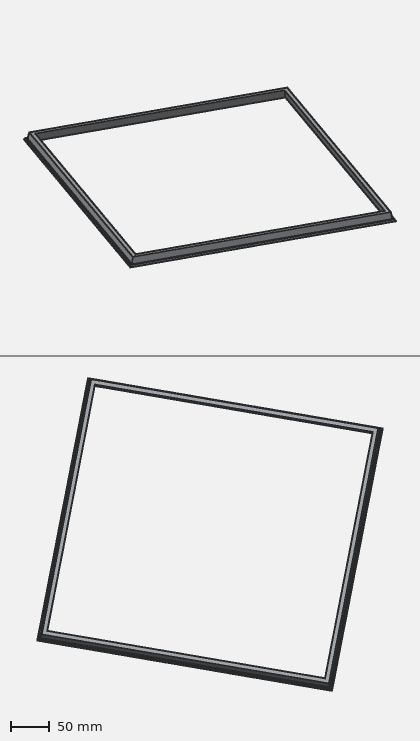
import cadquery as cq

length_x = 388.0
length_y = 367.5
height = 12.0

lip_height = 2.52
lip_bevel = 1.35
lip_ledge = 2.15
wall_lean = 1.7
top_width = 6.2

wall_foot_inset = lip_bevel + lip_ledge
wall_top_inset = wall_foot_inset + wall_lean
opening_top_inset = wall_top_inset + top_width

inner_lean = wall_lean * height / (height - lip_height)
opening_bottom_inset = opening_top_inset - inner_lean


def tapered_block(bottom_z, bottom_inset, top_z, top_inset):
    """Block between two rectangles inset from the outer edge of the frame."""
    return (
        cq.Workplane("XY", origin=(0, 0, bottom_z))
        .rect(length_x - 2 * bottom_inset, length_y - 2 * bottom_inset)
        .workplane(offset=top_z - bottom_z)
        .rect(length_x - 2 * top_inset, length_y - 2 * top_inset)
        .loft(ruled=True)
    )


lip = tapered_block(0, 0, lip_height, lip_bevel)
wall = tapered_block(lip_height, wall_foot_inset, height, wall_top_inset)
opening = tapered_block(0, opening_bottom_inset, height, opening_top_inset)

result = lip.union(wall).cut(opening)